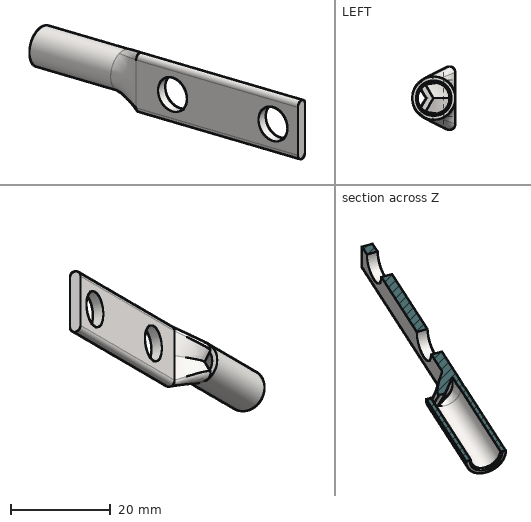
import cadquery as cq
import math

total_length = 68.1
barrel_length = 20.6
tongue_start = 27.1

barrel_diameter = 8.65
barrel_radius = barrel_diameter / 2
bore_radius = 3.2
mouth_chamfer = 0.35

tongue_width = 12.7
tongue_thickness = 2.4
hole_diameter = 7.3
hole_positions = (36.3, 61.75)

valley_y = 1.5
valley_slope = math.tan(math.radians(30))
pressed_wall = 1.2
shoulder_y = 1.5
horn_half_span = 2.25
horn_peak = (2.65, 3.2)

bend_x = 22.9
bend_horn = (2.1, 2.85)
bend_side = (1.8, 3.6)
bend_valley_drop = 0.2

cavity_end = 24.5
slit_width = 6.8
slit_gap = 0.1

tongue_edge_radius = tongue_thickness / 2
tongue_mid_y = tongue_edge_radius - barrel_radius
tongue_flat_half = tongue_width / 2 - tongue_edge_radius


def circle_z(radius, y):
    """Half height in Z of a circle about the barrel axis at the given Y."""
    return math.sqrt(radius**2 - y**2)


def section_plane(x):
    """Cross-section plane whose local axes are Y and Z."""
    return cq.Workplane("YZ", origin=(x, 0, 0))


def make_barrel():
    return section_plane(0).circle(barrel_radius).extrude(barrel_length)


def blend(start, end, fraction):
    """Point part of the way from one (Y, Z) point to another."""
    return tuple(p + (q - p) * fraction for p, q in zip(start, end))


def mirrored(point):
    """The same point on the -Z half."""
    return (point[0], -point[1])


def draw_outline(sketch, outline):
    """Draw a closed outline, symmetric in Z, from the points of its +Z half."""
    foot, lower_side, shoulder, upper_side, horn, valley = outline
    outline_sketch = sketch.moveTo(*mirrored(foot))
    if math.isclose(foot[0], -barrel_radius):
        outline_sketch = outline_sketch.lineTo(*foot)
    else:
        outline_sketch = outline_sketch.threePointArc((-barrel_radius, 0), foot)
    return (
        outline_sketch.threePointArc(lower_side, shoulder)
        .threePointArc(upper_side, horn)
        .lineTo(*valley)
        .lineTo(*mirrored(horn))
        .threePointArc(mirrored(upper_side), mirrored(shoulder))
        .threePointArc(mirrored(lower_side), mirrored(foot))
        .close()
    )


def pressed_outline():
    """Round barrel wall whose +Y side is pressed into a V between two horns."""
    shoulder_z = circle_z(barrel_radius, shoulder_y)
    horn_y = valley_y + valley_slope * horn_half_span
    return (
        (-shoulder_y, shoulder_z),
        (0, barrel_radius),
        (shoulder_y, shoulder_z),
        horn_peak,
        (horn_y, horn_half_span),
        (valley_y, 0),
    )


def tongue_outline():
    """Flat bar with full-round edges."""
    top_y = tongue_thickness - barrel_radius
    diagonal = tongue_edge_radius * math.sqrt(0.5)
    return (
        (-barrel_radius, tongue_flat_half),
        (tongue_mid_y - diagonal, tongue_flat_half + diagonal),
        (tongue_mid_y, tongue_width / 2),
        (tongue_mid_y + diagonal, tongue_flat_half + diagonal),
        (top_y, tongue_flat_half),
        (top_y, 0),
    )


def bend_outline():
    """Outline where the pressed wall, still high, turns down toward the tongue."""
    pressed = pressed_outline()
    tongue = tongue_outline()
    along = (bend_x - barrel_length) / (tongue_start - barrel_length)
    foot, lower_side, shoulder = [blend(pressed[i], tongue[i], along) for i in range(3)]
    valley = blend(pressed[5], tongue[5], bend_valley_drop)
    return (foot, lower_side, shoulder, bend_side, bend_horn, valley)


def make_transition():
    """Smooth skin from the pressed barrel end over the bend to the tongue."""
    sections = draw_outline(section_plane(barrel_length), pressed_outline())
    sections = draw_outline(sections.workplane(offset=bend_x - barrel_length), bend_outline())
    sections = draw_outline(sections.workplane(offset=tongue_start - bend_x), tongue_outline())
    return sections.loft(combine=True)


def make_cavity():
    """Space inside the pressed wall, narrowing to a slit."""
    inner_valley_y = valley_y - pressed_wall * math.hypot(1, valley_slope)
    a = 1 + valley_slope**2
    b = inner_valley_y * valley_slope
    c = inner_valley_y**2 - bore_radius**2
    corner_z = (-b + math.sqrt(b**2 - a * c)) / a
    corner_y = inner_valley_y + valley_slope * corner_z
    slit_low = tongue_mid_y - slit_gap / 2
    slit_high = tongue_mid_y + slit_gap / 2
    slit_half = slit_width / 2
    return (
        section_plane(barrel_length)
        .moveTo(corner_y, -corner_z)
        .threePointArc((-bore_radius, 0), (corner_y, corner_z))
        .lineTo(inner_valley_y, 0)
        .close()
        .workplane(offset=cavity_end - barrel_length)
        .moveTo(slit_high, -slit_half)
        .threePointArc((slit_low, 0), (slit_high, slit_half))
        .lineTo(slit_high, 0)
        .close()
        .loft(ruled=True, combine=True)
    )


def make_tongue():
    return draw_outline(section_plane(tongue_start), tongue_outline()).extrude(
        total_length - tongue_start
    )


def make_bore():
    bore = section_plane(0).circle(bore_radius).extrude(barrel_length)
    mouth = cq.Solid.makeCone(
        bore_radius + mouth_chamfer,
        bore_radius,
        mouth_chamfer,
        pnt=cq.Vector(0, 0, 0),
        dir=cq.Vector(1, 0, 0),
    )
    return bore.union(cq.Workplane(mouth))


def make_bolt_holes():
    return (
        cq.Workplane("XZ", origin=(0, -barrel_radius, 0))
        .pushPoints([(x, 0) for x in hole_positions])
        .circle(hole_diameter / 2)
        .extrude(-tongue_thickness)
    )


body = make_barrel().union(make_transition()).union(make_tongue())
result = body.cut(make_bore()).cut(make_cavity()).cut(make_bolt_holes())